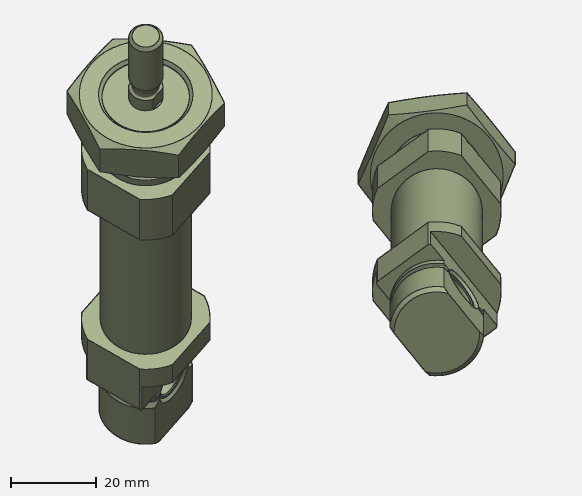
import cadquery as cq
import math


thread_dia = 22.0
thread_length = 20.0
thread_chamfer = 1.0
bore_thread_dia = 20.38

cap_flats = 26.0
cap_corner_dia = 30.0
cap_length = 16.0
barrel_dia = 21.3
cap_to_cap = 83.0

rear_cap_bottom = thread_length
rear_cap_top = rear_cap_bottom + cap_length
front_cap_top = rear_cap_bottom + cap_to_cap
front_cap_bottom = front_cap_top - cap_length
collar_top = front_cap_top + thread_length

groove_dia = 19.7
groove_start = 2.2
groove_end = 5.0
groove_depth = (thread_dia - groove_dia) / 2
groove_fillet = 0.6

tongue_width = 16.0
tongue_top = 29.0
pivot_height = 17.0
pivot_dia = 8.0
pivot_edge_dia = 8.57
pivot_recess_dia = 9.6
pivot_rim_dia = 11.2
pivot_recess_depth = 0.7

nut_flats = 32.0
nut_height = 11.0
nut_top = 124.0
nut_bottom = nut_top - nut_height
nut_face_dia = 31.0
nut_chamfer_angle = 20.0

rod_dia = 8.0
rod_flats = 7.0
rod_top = 147.0
rod_thread_length = 20.0
rod_tip_chamfer = 0.8
undercut_dia = 6.4
undercut_length = 4.0
undercut_cone_length = 2.4
undercut_fillet = 0.6

shoulder_height = rod_top - rod_thread_length
rod_bottom = front_cap_bottom


def cylinder(diameter, bottom, top):
    return cq.Workplane("XY").workplane(offset=bottom).circle(diameter / 2).extrude(top - bottom)


def turn(profile):
    """Solid of revolution about Z from a closed outline of (radius, height) points."""
    return cq.Workplane("XZ").polyline(profile).close().revolve(360, (0, 0), (0, 1))


def end_cap(bottom, top):
    square = cq.Workplane("XY").workplane(offset=bottom).rect(cap_flats, cap_flats).extrude(top - bottom)
    return square.intersect(cylinder(cap_corner_dia, bottom, top))


def relief_ring(outer_dia, inner_dia, shoulder, thread_end, cone_length, fillet):
    """Ring to cut away: flat shoulder at one end, cone at the thread end, rounded inner corners."""
    outer = outer_dia / 2
    inner = inner_dia / 2
    cone_foot = thread_end - math.copysign(cone_length, thread_end - shoulder)
    profile = [(outer, shoulder), (inner, shoulder), (inner, cone_foot), (outer, thread_end)]
    return turn(profile).edges(cq.selectors.RadiusNthSelector(0)).fillet(fillet)


def cap_groove(cap_face, direction):
    """Relief groove beside a cap; direction is +1 upward or -1 downward."""
    shoulder = cap_face + direction * groove_start
    thread_end = cap_face + direction * groove_end
    return relief_ring(thread_dia, groove_dia, shoulder, thread_end, groove_depth, groove_fillet)


def tongue_cuts():
    """Material removed on both sides of the rear tongue."""
    side = cap_corner_dia
    block = cq.Workplane("XY").box(side, 2 * side, tongue_top, centered=(False, True, False))
    right = block.translate((tongue_width / 2, 0, 0))
    return right.union(right.mirror("YZ"))


def pivot_hole():
    """Cross hole along X with a bevelled shallow recess on both faces of the tongue."""
    half = tongue_width / 2
    floor = half - pivot_recess_depth
    radius = pivot_dia / 2
    edge = pivot_edge_dia / 2
    mouth = floor - (edge - radius)
    recess = pivot_recess_dia / 2
    rim = pivot_rim_dia / 2
    profile = [
        (-half, 0), (-half, rim), (-floor, recess), (-floor, edge), (-mouth, radius),
        (mouth, radius), (floor, edge), (floor, recess), (half, rim), (half, 0),
    ]
    hole = cq.Workplane("XY").polyline(profile).close().revolve(360, (0, 0), (1, 0))
    return hole.translate((0, 0, pivot_height))


def make_housing():
    """Barrel, two end caps, rear tongue and front collar, bored for the rod."""
    rear_thread = cylinder(thread_dia, 0, rear_cap_bottom).faces("<Z").chamfer(thread_chamfer)
    body = rear_thread.union(end_cap(rear_cap_bottom, rear_cap_top))
    body = body.union(cylinder(barrel_dia, rear_cap_top, front_cap_bottom))
    body = body.union(end_cap(front_cap_bottom, front_cap_top))
    body = body.union(cylinder(thread_dia, front_cap_top, nut_bottom))
    body = body.union(cylinder(bore_thread_dia, nut_bottom, collar_top))
    body = body.cut(cap_groove(rear_cap_bottom, -1))
    body = body.cut(cap_groove(front_cap_top, 1))
    body = body.cut(tongue_cuts()).cut(pivot_hole())
    return body.cut(cylinder(rod_dia, rod_bottom, collar_top))


def make_nut():
    """Hexagon nut with flats facing +X and -X, corners turned off, bore countersunk on top."""
    corner_dia = nut_flats / math.cos(math.pi / 6)
    hexagon = (
        cq.Workplane("XY").workplane(offset=nut_bottom)
        .polygon(6, corner_dia).extrude(nut_height)
        .rotate((0, 0, 0), (0, 0, 1), 30)
    )
    face_radius = nut_face_dia / 2
    corner_radius = corner_dia / 2
    drop = (corner_radius - face_radius) * math.tan(math.radians(nut_chamfer_angle))
    profile = [
        (0, nut_bottom), (face_radius, nut_bottom), (corner_radius, nut_bottom + drop),
        (corner_radius, nut_top - drop), (face_radius, nut_top), (0, nut_top),
    ]
    turned = turn(profile)
    nut = hexagon.intersect(turned).cut(cylinder(bore_thread_dia, nut_bottom, nut_top))
    bore_radius = bore_thread_dia / 2
    mouth_radius = thread_dia / 2
    lead_in_foot = nut_top - (mouth_radius - bore_radius)
    lead_in = turn([
        (0, lead_in_foot), (bore_radius, lead_in_foot), (mouth_radius, nut_top), (0, nut_top),
    ])
    return nut.cut(lead_in)


def make_rod():
    """Rod with an undercut thread end and two wrench flats facing +X and -X."""
    rod = cylinder(rod_dia, rod_bottom, rod_top).faces(">Z").chamfer(rod_tip_chamfer)
    undercut_top = shoulder_height + undercut_length
    rod = rod.cut(relief_ring(
        rod_dia, undercut_dia, shoulder_height, undercut_top, undercut_cone_length, undercut_fillet))
    flat_height = shoulder_height + undercut_fillet - collar_top
    for side in (-1, 1):
        flat = cq.Workplane("XY").box(rod_dia, rod_dia, flat_height, centered=(True, True, False))
        rod = rod.cut(flat.translate((side * (rod_flats + rod_dia) / 2, 0, collar_top)))
    return rod


housing = make_housing()
nut = make_nut()
rod = make_rod()

result = cq.Compound.makeCompound([housing.val(), nut.val(), rod.val()])